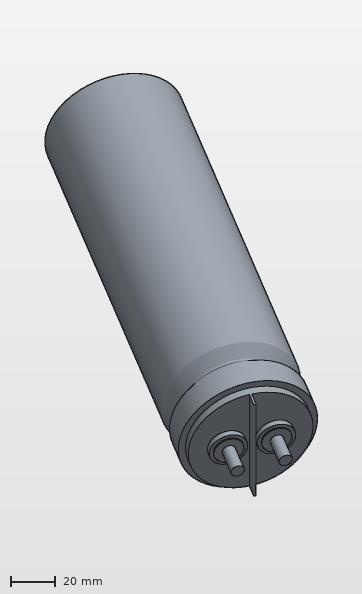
import cadquery as cq
import math

total_length = 234.5
can_diameter = 65.5
can_radius = can_diameter / 2

stud_diameter = 12.0
stud_length = 11.7

can_end = 213.6
groove_center = 194.0
groove_depth = 5.6
groove_floor_radius = 1.2
groove_lip_radius = 1.2
groove_half_angle = 45.0

lid_diameter = 58.6
lid_end = 217.5
barrier_end = 224.5
barrier_thickness = 1.2

terminal_spacing = 22.5
flange_diameter = 18.0
flange_thickness = 2.8
collar_diameter = 14.3
collar_thickness = 0.7
pin_diameter = 6.3


def cylinder(diameter, start, end, y=0.0):
    """Cylinder along X from start to end, with its axis at the given Y."""
    return cq.Workplane("YZ", origin=(start, y, 0)).circle(diameter / 2).extrude(end - start)


def make_can():
    """Can body turned about X, with a rounded V groove."""
    angle = math.radians(groove_half_angle)
    floor_run = groove_floor_radius * math.sin(angle)
    floor_rise = groove_floor_radius * (1 - math.cos(angle))
    lip_run = groove_lip_radius * math.sin(angle)
    lip_rise = groove_lip_radius * (1 - math.cos(angle))
    flank_run = (groove_depth - floor_rise - lip_rise) / math.tan(angle)

    floor_radius = can_radius - groove_depth
    flank_bottom = (floor_run, floor_radius + floor_rise)
    flank_top = (floor_run + flank_run, can_radius - lip_rise)
    lip_start = (flank_top[0] + lip_run, can_radius)
    lip_middle = (
        lip_start[0] - groove_lip_radius * math.sin(angle / 2),
        can_radius - groove_lip_radius * (1 - math.cos(angle / 2)),
    )

    def left(point):
        return (groove_center - point[0], point[1])

    def right(point):
        return (groove_center + point[0], point[1])

    return (
        cq.Workplane("XY")
        .moveTo(stud_length, 0)
        .lineTo(stud_length, can_radius)
        .lineTo(*left(lip_start))
        .threePointArc(left(lip_middle), left(flank_top))
        .lineTo(*left(flank_bottom))
        .threePointArc((groove_center, floor_radius), right(flank_bottom))
        .lineTo(*right(flank_top))
        .threePointArc(right(lip_middle), right(lip_start))
        .lineTo(can_end, can_radius)
        .lineTo(can_end, 0)
        .close()
        .revolve(360, (0, 0, 0), (1, 0, 0))
    )


def make_barrier():
    """Thin upright wall across the lid, with a fully rounded free edge."""
    nose_start = barrier_end - barrier_thickness / 2
    half_thickness = barrier_thickness / 2
    return (
        cq.Workplane("XY", origin=(0, 0, -lid_diameter / 2))
        .moveTo(can_end, -half_thickness)
        .lineTo(nose_start, -half_thickness)
        .threePointArc((barrier_end, 0), (nose_start, half_thickness))
        .lineTo(can_end, half_thickness)
        .close()
        .extrude(lid_diameter)
        .intersect(cylinder(lid_diameter, can_end, barrier_end))
    )


def make_terminal(y):
    """Flange, thin collar and round pin standing on the lid."""
    flange_end = lid_end + flange_thickness
    collar_end = flange_end + collar_thickness
    flange = cylinder(flange_diameter, lid_end, flange_end, y)
    collar = cylinder(collar_diameter, flange_end, collar_end, y)
    pin = cylinder(pin_diameter, collar_end, total_length, y)
    return flange.union(collar).union(pin)


result = (
    make_can()
    .union(cylinder(stud_diameter, 0, stud_length))
    .union(cylinder(lid_diameter, can_end, lid_end))
    .union(make_barrier())
)
for side in (-1, 1):
    result = result.union(make_terminal(side * terminal_spacing / 2))